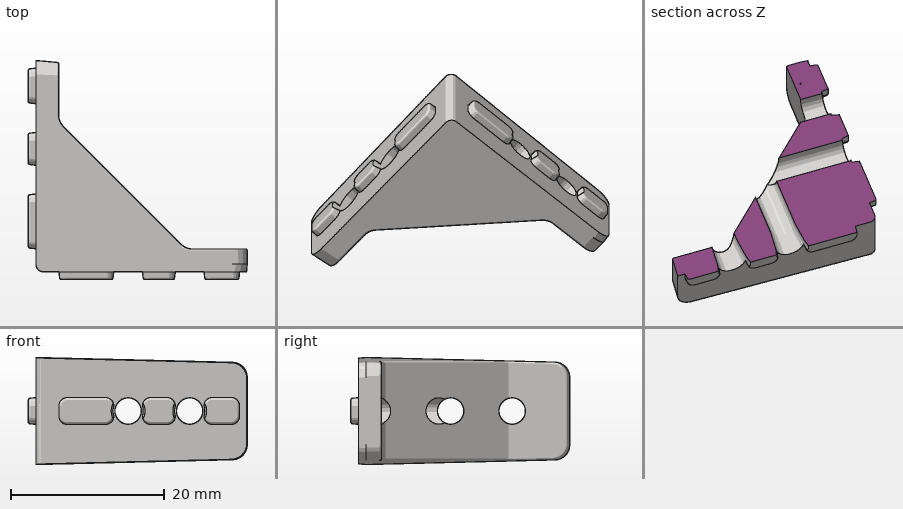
import cadquery as cq
import math

arm_length = 27.5
arm_thickness = 3.0
corner_height = 13.95
height_angle = 1.4
height_slope = math.tan(math.radians(height_angle))
draft_angle = 5.0
draft_slope = math.tan(math.radians(draft_angle))

parting_y = 1.0
outer_corner_radius = 1.0
end_corner_radius = 2.0
gusset_reach = 19.5
gusset_blend_radius = 2.0
inner_edge_radius = 0.25

hole_positions = (12.0, 20.0)
hole_diameter = 3.4

boss_row_start = 3.0
boss_row_end = 26.5
boss_to_hole = 1.85
boss_width = 3.5
boss_height = 1.0
boss_corner_radius = 1.1
boss_edge_radius = 0.3
boss_clearance_tip_radius = 2.2

half_height = corner_height / 2
tapered_hole_radius = hole_diameter / 2 + arm_thickness * draft_slope


def half_height_at(x, y):
    """Half of the sloped height of the arms at a point of the outline."""
    return half_height - height_slope * (x + y - parting_y)


def make_profile_block():
    """L-shape with its diagonal gusset, at full height, from the parting plane to the arm ends."""
    block = (
        cq.Workplane("XY", origin=(0, 0, -half_height))
        .moveTo(0, parting_y)
        .lineTo(arm_length, parting_y)
        .lineTo(arm_length, arm_thickness)
        .lineTo(gusset_reach, arm_thickness)
        .lineTo(arm_thickness, gusset_reach)
        .lineTo(arm_thickness, arm_length - arm_thickness * draft_slope)
        .lineTo(0, arm_length)
        .close()
        .extrude(corner_height)
    )
    for point in ((gusset_reach, arm_thickness, 0), (arm_thickness, gusset_reach, 0)):
        block = block.edges(cq.NearestToPointSelector(point)).fillet(gusset_blend_radius)
    return block


def slope_top_and_bottom(block):
    """Trim the block so that its height falls away from the corner along both arms."""
    cutter_size = 4 * arm_length
    for side in (1, -1):
        plane = cq.Plane(
            origin=(0, parting_y, side * half_height),
            xDir=(1, -1, 0),
            normal=(height_slope, height_slope, side),
        )
        cutter = cq.Workplane(plane).rect(cutter_size, cutter_size).extrude(corner_height)
        block = block.cut(cutter)
    return block


def round_arm_ends(arms):
    """Round the upper and lower corner at the end of each arm."""
    x_arm_end = (arm_length, (parting_y + arm_thickness) / 2)
    y_arm_end = (arm_thickness / 2, arm_length)
    for side in (1, -1):
        for x, y in (x_arm_end, y_arm_end):
            point = (x, y, side * half_height_at(x, y))
            arms = arms.edges(cq.NearestToPointSelector(point)).fillet(end_corner_radius)
    return arms


def arm_section(y, inset):
    """Wire of the X arm outline at the given y, drawn in by inset at its end, top and bottom."""
    near = half_height - inset
    far = near - height_slope * arm_length
    end = arm_length - inset
    corners = ((0, -near), (end, -far), (end, far), (0, near))
    wire = cq.Workplane("XZ", origin=(0, y, 0)).polyline(corners).close().val()
    end_corners = [vertex for vertex in wire.Vertices() if vertex.X > 0.5 * arm_length]
    return wire.fillet2D(end_corner_radius, end_corners)


def make_outer_strip():
    """Drafted slab between the parting plane and the outer face of the X arm."""
    wide = arm_section(parting_y, 0)
    narrow = arm_section(0, parting_y * draft_slope)
    return cq.Workplane(cq.Solid.makeLoft([wide, narrow], True))


def make_boss(start, end):
    """Boss standing on the XY plane, long axis along X."""
    return (
        cq.Workplane("XY")
        .center((start + end) / 2, 0)
        .sketch()
        .rect(end - start, boss_width)
        .vertices()
        .fillet(boss_corner_radius)
        .finalize()
        .extrude(boss_height, taper=draft_angle)
        .faces(">Z")
        .edges()
        .fillet(boss_edge_radius)
    )


def make_boss_row():
    """All bosses of one arm, trimmed by the screw clearance cones."""
    row = cq.Workplane("XY")
    starts = [boss_row_start] + [x + boss_to_hole for x in hole_positions]
    ends = [x - boss_to_hole for x in hole_positions] + [boss_row_end]
    for start, end in zip(starts, ends):
        row = row.add(make_boss(start, end))
    row = row.combine()
    for x in hole_positions:
        center = cq.Vector(x, 0, 0)
        cone = cq.Solid.makeCone(tapered_hole_radius, boss_clearance_tip_radius, boss_height, center)
        row = row.cut(cq.Workplane(cone))
    return row


def drill_holes(body):
    """Straight holes along Y; holes along X taper through the arm, then run straight."""
    radius = hole_diameter / 2
    x_axis = cq.Vector(1, 0, 0)
    y_axis = cq.Vector(0, 1, 0)
    for position in hole_positions:
        along_y = cq.Solid.makeCylinder(radius, arm_length, cq.Vector(position, 0, 0), y_axis)
        along_x = cq.Solid.makeCylinder(radius, arm_length, cq.Vector(0, position, 0), x_axis)
        taper = cq.Solid.makeCone(
            tapered_hole_radius, radius, arm_thickness, cq.Vector(0, position, 0), x_axis
        )
        for cutter in (along_y, along_x, taper):
            body = body.cut(cq.Workplane(cutter))
    return body


def round_inner_rim(arms):
    """Soften the whole rim of the inner arm faces and the diagonal."""
    inner_start = arm_thickness - inner_edge_radius
    end_zone_start = arm_length - end_corner_radius
    rim_edges = []
    for edge in arms.edges().vals():
        center = edge.Center()
        is_inner = min(center.x, center.y) > inner_start
        is_blend_seam = abs(center.z) < end_corner_radius and max(center.x, center.y) < end_zone_start
        if is_inner and not is_blend_seam:
            rim_edges.append(edge)
    return arms.newObject(rim_edges).fillet(inner_edge_radius)


def add_bosses(body):
    """Place one boss row on the outer face of each arm."""
    boss_row = make_boss_row().val()
    x_arm_face = cq.Plane(origin=(0, 0, 0), xDir=(1, 0, 0), normal=(0, -1, 0))
    y_arm_face = cq.Plane(origin=(0, 0, 0), xDir=(0, 1, 0), normal=(-1, 0, 0))
    for face in (x_arm_face, y_arm_face):
        body = body.union(cq.Workplane(boss_row.moved(cq.Location(face))))
    return body


arms = round_inner_rim(round_arm_ends(slope_top_and_bottom(make_profile_block())))
body = arms.union(make_outer_strip())
body = body.edges(cq.NearestToPointSelector((0, 0, 0))).fillet(outer_corner_radius)
body = drill_holes(body)
result = add_bosses(body)